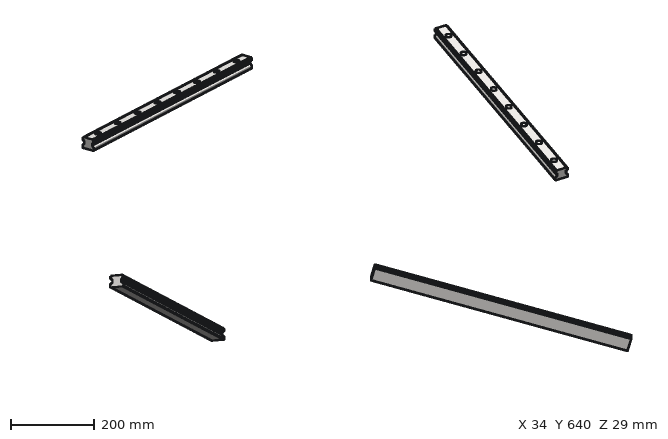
import cadquery as cq
import math

rail_length = 640.0
rail_width = 34.0
rail_height = 29.0

lip_depth = 5.0
lip_thickness = 3.0
track_size = 3.0
track_radius = 4.0
top_bevel_width = 0.5

waist_inset = 5.45
waist_top = 17.0
base_side_height = 7.0
shoulder_fillet = 1.0
base_chamfer = 1.5

hole_count = 8
hole_pitch = rail_length / hole_count
hole_diameter = 14.0
cap_recess = 0.5

edge = rail_width / 2
waist = edge - waist_inset
track_inner = edge - track_size
lip_middle = rail_height - lip_depth


def track_points(direction):
    """Return the lip end, middle and inner end of the track above (1) or below (-1) the lip."""
    lip_offset = lip_thickness / 2
    half_chord = track_size / math.sqrt(2)
    bow = track_radius - math.sqrt(track_radius**2 - half_chord**2)
    inward = bow / math.sqrt(2)
    middle_x = edge - track_size / 2 - inward
    middle_offset = lip_offset + track_size / 2 - inward
    return (
        (edge, lip_middle + direction * lip_offset),
        (middle_x, lip_middle + direction * middle_offset),
        (track_inner, lip_middle + direction * (lip_offset + track_size)),
    )


def make_half_rail():
    """Extrude the +X half of the section and round the shoulder of its base."""
    upper_lip, upper_middle, upper_inner = track_points(1)
    lower_lip, lower_middle, lower_inner = track_points(-1)
    half = (
        cq.Workplane("XZ")
        .moveTo(0, 0)
        .lineTo(edge - base_chamfer, 0)
        .lineTo(edge, base_chamfer)
        .lineTo(edge, base_side_height)
        .lineTo(waist, base_side_height + waist_inset)
        .lineTo(waist, waist_top)
        .lineTo(*lower_inner)
        .threePointArc(lower_middle, lower_lip)
        .lineTo(*upper_lip)
        .threePointArc(upper_middle, upper_inner)
        .lineTo(track_inner - top_bevel_width, rail_height)
        .lineTo(0, rail_height)
        .close()
        .extrude(rail_length / 2, both=True)
    )
    shoulder = cq.selectors.NearestToPointSelector((edge, 0, base_side_height))
    return half.edges(shoulder).fillet(shoulder_fillet)


def make_rail():
    """Join the half rail to its mirror image and centre it in height."""
    half = make_half_rail()
    return half.union(half.mirror("YZ")).clean().translate((0, 0, -rail_height / 2))


def cut_hole_mouths(rail):
    """Sink one shallow round recess per mounting hole, half a pitch in from each end."""
    return (
        rail.faces(">Z")
        .workplane(origin=(0, 0, 0))
        .rarray(6.5, hole_pitch, 1, hole_count)
        .circle(hole_diameter / 2)
        .cutBlind(-cap_recess)
    )


result = cut_hole_mouths(make_rail()).solids()